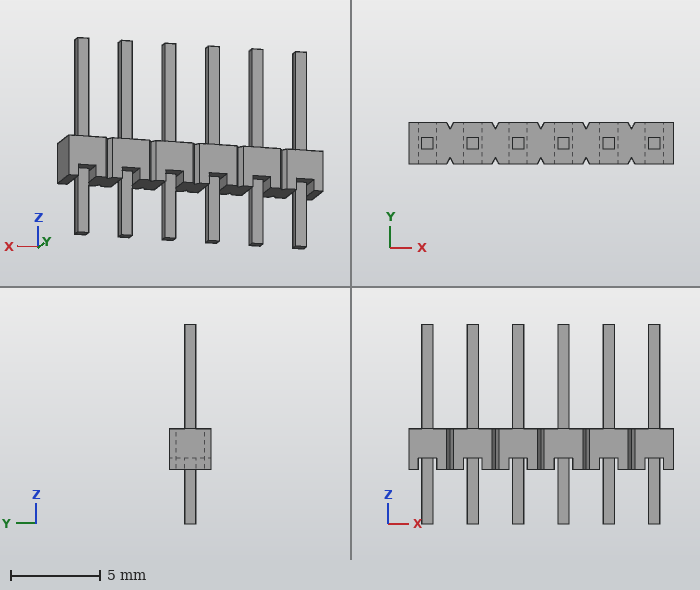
import cadquery as cq

PIN_COUNT = 6
PITCH = 2.54
PIN_SIZE = 0.64
PIN_ABOVE = 5.84
PIN_BELOW = 3.05

BODY_LENGTH = 14.83
BODY_WIDTH = 2.34
BODY_HEIGHT = 2.29
LEFT_MARGIN = 1.04

NOTCH_WIDTH = 0.38
NOTCH_DEPTH = 0.36

SLOT_WIDTH = 1.02
SLOT_HEIGHT = 0.64

first_pin_x = -BODY_LENGTH / 2 + LEFT_MARGIN
pin_positions = [first_pin_x + i * PITCH for i in range(PIN_COUNT)]
notch_positions = [x + PITCH / 2 for x in pin_positions[:-1]]


def upright_box(x, length, width, z_bottom, height):
    """Box centred on (x, 0), rising from z_bottom."""
    box = cq.Workplane("XY").box(length, width, height, centered=(True, True, False))
    return box.translate((x, 0, z_bottom))


def break_notch(x, side):
    """Full-height V cutter on the long face at side = -1 (-Y) or +1 (+Y)."""
    face_y = side * BODY_WIDTH / 2
    outline = [
        (x - NOTCH_WIDTH / 2, face_y),
        (x + NOTCH_WIDTH / 2, face_y),
        (x, face_y - side * NOTCH_DEPTH),
    ]
    return cq.Workplane("XY").polyline(outline).close().extrude(BODY_HEIGHT)


def housing():
    """Plastic strip with its underside at Z = 0."""
    body = upright_box(0, BODY_LENGTH, BODY_WIDTH, 0, BODY_HEIGHT)
    for x in pin_positions:
        body = body.cut(upright_box(x, SLOT_WIDTH, BODY_WIDTH, 0, SLOT_HEIGHT))
    for x in notch_positions:
        for side in (-1, 1):
            body = body.cut(break_notch(x, side))
    return body


def pin(x):
    """Square pin passing straight through the housing."""
    pin_length = PIN_BELOW + BODY_HEIGHT + PIN_ABOVE
    return upright_box(x, PIN_SIZE, PIN_SIZE, -PIN_BELOW, pin_length)


result = housing()
for pin_x in pin_positions:
    result = result.union(pin(pin_x))